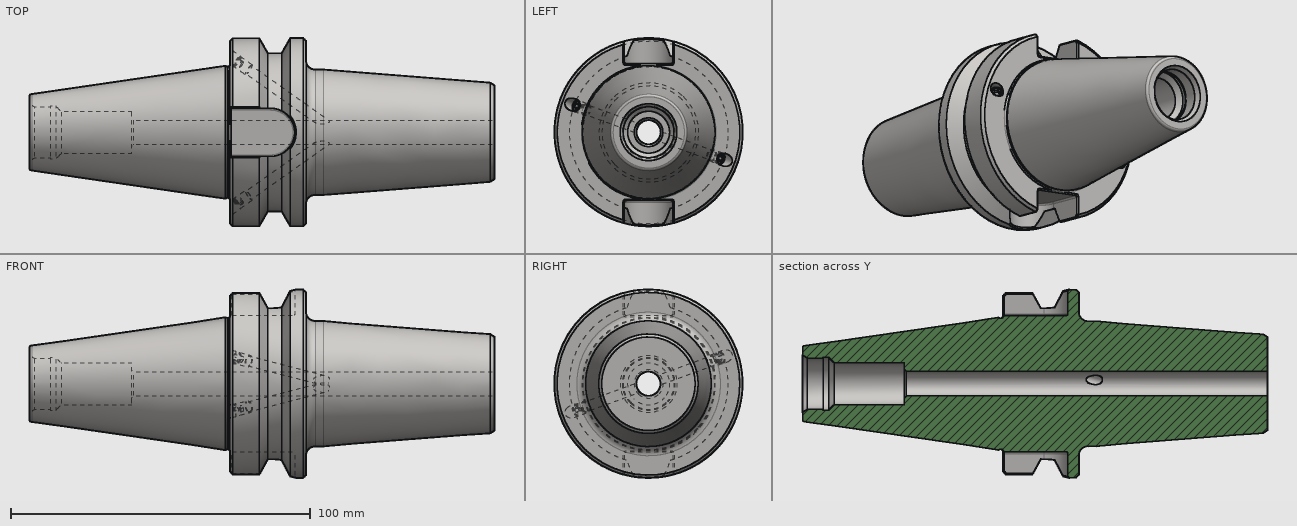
import cadquery as cq
import math


GAUGE_DIAMETER = 44.45
TAPER_RATIO = 7 / 24
SHANK_LENGTH = 65.41
SHANK_END_X = -SHANK_LENGTH
SHANK_END_RADIUS = (GAUGE_DIAMETER - SHANK_LENGTH * TAPER_RATIO) / 2
SHANK_END_FILLET = 0.9
RELIEF_RADIUS = 43.94 / 2
RELIEF_STEP_LENGTH = 0.7
RELIEF_FILLET = 0.5

FLANGE_START_X = 1.55
FLANGE_END_X = 27.0
FLANGE_RADIUS = 62.99 / 2
FLANGE_CHAMFER = 1.0
GROOVE_CENTER_X = 16.55
GROOVE_FLOOR_WIDTH = 4.6
GROOVE_FLOOR_RADIUS = 53.0 / 2
GROOVE_FLANK_ANGLE = 30.0

NOSE_RADIUS = 42.0 / 2
NOSE_FILLET = 3.0
NOSE_CYLINDER_END_X = 32.7
NOSE_ANGLE = 4.5
NOSE_END_X = 90.0
NOSE_CHAMFER_LENGTH = 1.5
NOSE_CHAMFER_DEPTH = 1.0

MOUTH_RADIUS = 19.0 / 2
MOUTH_CONE_ANGLE = 30.0
PILOT_RADIUS = 17.0 / 2
PILOT_END_DEPTH = 7.0
UNDERCUT_RADIUS = 17.62 / 2
UNDERCUT_LENGTH = 1.8
THREAD_RADIUS = 14.0 / 2
THREAD_END_DEPTH = 34.0
COOLANT_BORE_RADIUS = 8.0 / 2
COOLANT_BORE_CHAMFER = 0.8

DRIVE_SLOT_COUNT = 2
SLOT_WIDTH = 16.1
SLOT_END_X = 23.2
SLOT_FLOOR_Z = 22.8
SLOT_FLOOR_FILLET = 0.6
SLOT_EDGE_CHAMFER = 0.5

CHANNEL_PITCH_RADIUS = 27.0
CHANNEL_POSITION_ANGLES = (20.0, 200.0)
CHANNEL_TILT = 37.0
CHANNEL_MOUTH_DIAMETER = 4.2
CHANNEL_DIAMETER = 3.3
SCREW_DIAMETER = 4.0
SCREW_DEPTH = 2.8
SCREW_LENGTH = 5.0
SCREW_CHAMFER = 0.3
SOCKET_WIDTH = 2.0
SOCKET_DEPTH = 2.0


def make_revolved_holder():
    flange_edge = FLANGE_RADIUS - FLANGE_CHAMFER
    chamfer_start_x = NOSE_END_X - NOSE_CHAMFER_LENGTH
    nose_slope = math.tan(math.radians(NOSE_ANGLE))
    nose_end_radius = NOSE_RADIUS - (chamfer_start_x - NOSE_CYLINDER_END_X) * nose_slope
    fillet_drop = math.sqrt(0.5)
    relief_center = (FLANGE_START_X - RELIEF_FILLET, RELIEF_RADIUS + RELIEF_FILLET)
    nose_center = (FLANGE_END_X + NOSE_FILLET, NOSE_RADIUS + NOSE_FILLET)
    return (
        cq.Workplane("XY")
        .moveTo(SHANK_END_X, 0)
        .lineTo(SHANK_END_X, SHANK_END_RADIUS)
        .lineTo(0, GAUGE_DIAMETER / 2)
        .lineTo(RELIEF_STEP_LENGTH, RELIEF_RADIUS)
        .lineTo(relief_center[0], RELIEF_RADIUS)
        .threePointArc(
            (relief_center[0] + RELIEF_FILLET * fillet_drop, relief_center[1] - RELIEF_FILLET * fillet_drop),
            (FLANGE_START_X, relief_center[1]),
        )
        .lineTo(FLANGE_START_X, flange_edge)
        .lineTo(FLANGE_START_X + FLANGE_CHAMFER, FLANGE_RADIUS)
        .lineTo(FLANGE_END_X - FLANGE_CHAMFER, FLANGE_RADIUS)
        .lineTo(FLANGE_END_X, flange_edge)
        .lineTo(FLANGE_END_X, nose_center[1])
        .threePointArc(
            (nose_center[0] - NOSE_FILLET * fillet_drop, nose_center[1] - NOSE_FILLET * fillet_drop),
            (nose_center[0], NOSE_RADIUS),
        )
        .lineTo(NOSE_CYLINDER_END_X, NOSE_RADIUS)
        .lineTo(chamfer_start_x, nose_end_radius)
        .lineTo(NOSE_END_X, nose_end_radius - NOSE_CHAMFER_DEPTH)
        .lineTo(NOSE_END_X, 0)
        .close()
        .revolve(360, (0, 0, 0), (1, 0, 0))
        .faces("<X")
        .edges()
        .fillet(SHANK_END_FILLET)
    )


def make_gripper_groove():
    """V-groove ring cutter that widens past the flange rim."""
    rim_radius = FLANGE_RADIUS + 1
    flank_run = (rim_radius - GROOVE_FLOOR_RADIUS) * math.tan(math.radians(GROOVE_FLANK_ANGLE))
    floor_start = GROOVE_CENTER_X - GROOVE_FLOOR_WIDTH / 2
    floor_end = GROOVE_CENTER_X + GROOVE_FLOOR_WIDTH / 2
    return (
        cq.Workplane("XY")
        .moveTo(floor_start - flank_run, rim_radius)
        .lineTo(floor_start, GROOVE_FLOOR_RADIUS)
        .lineTo(floor_end, GROOVE_FLOOR_RADIUS)
        .lineTo(floor_end + flank_run, rim_radius)
        .close()
        .revolve(360, (0, 0, 0), (1, 0, 0))
    )


def make_axial_bore():
    mouth_cone_length = (MOUTH_RADIUS - PILOT_RADIUS) / math.tan(math.radians(MOUTH_CONE_ANGLE))
    pilot_end_x = SHANK_END_X + PILOT_END_DEPTH
    undercut_end_x = pilot_end_x + UNDERCUT_LENGTH
    thread_start_x = undercut_end_x + UNDERCUT_RADIUS - THREAD_RADIUS
    thread_end_x = SHANK_END_X + THREAD_END_DEPTH
    return (
        cq.Workplane("XY")
        .moveTo(SHANK_END_X, 0)
        .lineTo(SHANK_END_X, MOUTH_RADIUS)
        .lineTo(SHANK_END_X + mouth_cone_length, PILOT_RADIUS)
        .lineTo(pilot_end_x, PILOT_RADIUS)
        .lineTo(pilot_end_x, UNDERCUT_RADIUS)
        .lineTo(undercut_end_x, UNDERCUT_RADIUS)
        .lineTo(thread_start_x, THREAD_RADIUS)
        .lineTo(thread_end_x, THREAD_RADIUS)
        .lineTo(thread_end_x, COOLANT_BORE_RADIUS + COOLANT_BORE_CHAMFER)
        .lineTo(thread_end_x + COOLANT_BORE_CHAMFER, COOLANT_BORE_RADIUS)
        .lineTo(NOSE_END_X, COOLANT_BORE_RADIUS)
        .lineTo(NOSE_END_X, 0)
        .close()
        .revolve(360, (0, 0, 0), (1, 0, 0))
    )


def make_drive_slot():
    """Round-ended slot cutter above the slot floor on the +Z side."""
    end_radius = SLOT_WIDTH / 2
    return (
        cq.Workplane("XY", origin=(0, 0, SLOT_FLOOR_Z))
        .moveTo(0, -end_radius)
        .lineTo(SLOT_END_X - end_radius, -end_radius)
        .threePointArc((SLOT_END_X, 0), (SLOT_END_X - end_radius, end_radius))
        .lineTo(0, end_radius)
        .close()
        .extrude(FLANGE_RADIUS)
        .faces("<Z")
        .edges()
        .fillet(SLOT_FLOOR_FILLET)
    )


def cut_drive_slot(body):
    """Cut the slot on the +Z side and chamfer its edges on the flange face and rim."""
    margin = 0.1
    half_width = SLOT_WIDTH / 2 + margin
    wall_bottom_z = SLOT_FLOOR_Z + SLOT_FLOOR_FILLET + margin
    rim_bottom_z = math.sqrt(FLANGE_RADIUS**2 - half_width**2) - FLANGE_CHAMFER
    face_edges = cq.selectors.BoxSelector(
        (FLANGE_START_X - margin, -half_width, wall_bottom_z),
        (FLANGE_START_X + margin, half_width, rim_bottom_z),
    )
    rim_edges = cq.selectors.BoxSelector(
        (FLANGE_START_X + margin, -half_width, rim_bottom_z),
        (SLOT_END_X + margin, half_width, FLANGE_RADIUS),
    )
    return body.cut(make_drive_slot()).edges(face_edges + rim_edges).chamfer(SLOT_EDGE_CHAMFER)


def channel_plane(position_angle, depth):
    """Plane across a channel at a depth along it, with its normal pointing into the flange."""
    tilt = math.radians(CHANNEL_TILT)
    angle = math.radians(position_angle)
    outward = cq.Vector(0, math.cos(angle), math.sin(angle))
    inward_axis = cq.Vector(math.cos(tilt), 0, 0) - outward * math.sin(tilt)
    origin = cq.Vector(FLANGE_START_X, 0, 0) + outward * CHANNEL_PITCH_RADIUS + inward_axis * depth
    tangent = cq.Vector(1, 0, 0).cross(outward)
    return cq.Plane(origin=origin, xDir=tangent, normal=inward_axis)


def make_channel(position_angle):
    """Cutter for the open mouth, the screw seat and the narrow passage to the axial bore."""
    mouth_overrun = CHANNEL_MOUTH_DIAMETER
    passage_length = CHANNEL_PITCH_RADIUS / math.sin(math.radians(CHANNEL_TILT))
    mouth = (
        cq.Workplane(channel_plane(position_angle, -mouth_overrun))
        .circle(CHANNEL_MOUTH_DIAMETER / 2)
        .extrude(mouth_overrun + SCREW_DEPTH)
    )
    seat = (
        cq.Workplane(channel_plane(position_angle, SCREW_DEPTH))
        .circle(SCREW_DIAMETER / 2)
        .extrude(SCREW_LENGTH)
    )
    passage = (
        cq.Workplane(channel_plane(position_angle, 0))
        .circle(CHANNEL_DIAMETER / 2)
        .extrude(passage_length)
    )
    return mouth.union(seat).union(passage)


def make_holder():
    body = make_revolved_holder()
    for _ in range(DRIVE_SLOT_COUNT):
        body = cut_drive_slot(body).rotate((0, 0, 0), (1, 0, 0), 360 / DRIVE_SLOT_COUNT)
    body = body.cut(make_gripper_groove()).cut(make_axial_bore())
    for position_angle in CHANNEL_POSITION_ANGLES:
        body = body.cut(make_channel(position_angle))
    return body


def make_set_screw(position_angle):
    screw_plane = channel_plane(position_angle, SCREW_DEPTH)
    hexagon_diameter = SOCKET_WIDTH / math.cos(math.radians(30))
    socket = cq.Workplane(screw_plane).polygon(6, hexagon_diameter).extrude(SOCKET_DEPTH)
    shank = cq.Workplane(screw_plane).circle(SCREW_DIAMETER / 2).extrude(SCREW_LENGTH)
    return shank.edges("<X").chamfer(SCREW_CHAMFER).cut(socket)


holder = make_holder()
set_screws = [make_set_screw(angle) for angle in CHANNEL_POSITION_ANGLES]
result = cq.Compound.makeCompound([holder.val(), *[screw.val() for screw in set_screws]])